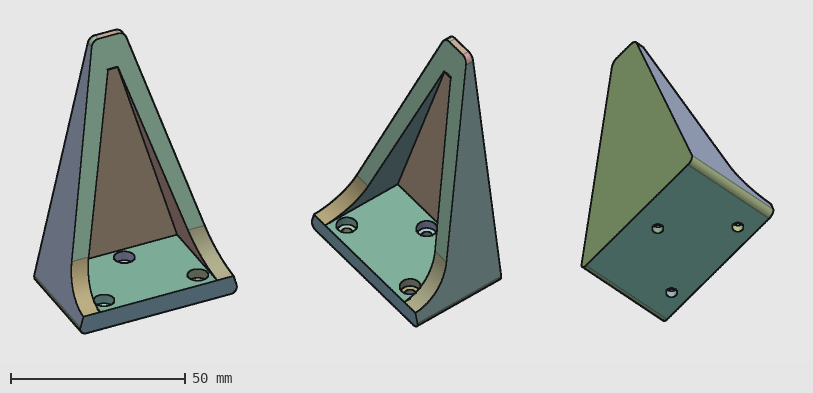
import cadquery as cq
import math

depth = 35.0
height = 76.0

front_lean = 4.95
tip_thickness = 2.1
foot_height = 6.0
foot_radius = 15.0
rear_slope = 0.328

base_half_width = 25.6
top_half_width = 5.1
top_corner_radius = 2.5
base_corner_radius = 2.0

wall_thickness = 4.25
floor_height = foot_height
pocket_top = 66.65
pocket_top_half_width = 1.6
pocket_floor_half_width = 18.7

hole_diameter = 3.2
bore_diameter = 6.0
bore_depth = 3.05
front_hole_x = 12.6
rear_hole_x = 30.0
rear_hole_y = 15.0


def trapezoid(bottom_z, top_z, bottom_half, top_half):
    """Symmetric trapezoid in the YZ plane, extruded over the whole depth."""
    corners = [
        (-bottom_half, bottom_z),
        (bottom_half, bottom_z),
        (top_half, top_z),
        (-top_half, top_z),
    ]
    return cq.Workplane("YZ").polyline(corners).close().extrude(depth)


def side_profile():
    """Bracket seen from the side; the foot arc is tangent to the rear slope."""
    slope_angle = math.atan(rear_slope)
    center_z = foot_height + foot_radius
    tangent_z = center_z - foot_radius * math.sin(slope_angle)
    tangent_x = tip_thickness + rear_slope * (height - tangent_z)
    center_x = tangent_x + foot_radius * math.cos(slope_angle)

    def arc_point(x):
        return x, center_z - math.sqrt(foot_radius**2 - (x - center_x) ** 2)

    return (
        cq.Workplane("XZ")
        .moveTo(front_lean, 0)
        .lineTo(depth, 0)
        .lineTo(*arc_point(depth))
        .threePointArc(arc_point((tangent_x + depth) / 2), (tangent_x, tangent_z))
        .lineTo(tip_thickness, height)
        .lineTo(0, height)
        .close()
        .extrude(base_half_width, both=True)
    )


def pocket():
    """Pocket limited by its trapezoid and by a plane parallel to the front."""
    outline = trapezoid(floor_height, pocket_top, pocket_floor_half_width, pocket_top_half_width)
    behind_wall = (
        cq.Workplane("XZ")
        .moveTo(front_lean + wall_thickness, 0)
        .lineTo(depth, 0)
        .lineTo(depth, height)
        .lineTo(wall_thickness, height)
        .close()
        .extrude(base_half_width, both=True)
    )
    return outline.intersect(behind_wall)


front_outline = trapezoid(0, height, base_half_width, top_half_width)
front_outline = front_outline.edges("|X and >Z").fillet(top_corner_radius)
front_outline = front_outline.edges("|X and <Z").fillet(base_corner_radius)
body = front_outline.intersect(side_profile()).cut(pocket())

hole_centers = [
    (front_hole_x, 0),
    (rear_hole_x, rear_hole_y),
    (rear_hole_x, -rear_hole_y),
]
result = (
    body.cut(cq.Workplane("XY").pushPoints(hole_centers).circle(hole_diameter / 2).extrude(floor_height))
    .cut(
        cq.Workplane("XY", origin=(0, 0, floor_height - bore_depth))
        .pushPoints(hole_centers)
        .circle(bore_diameter / 2)
        .extrude(bore_depth)
    )
)